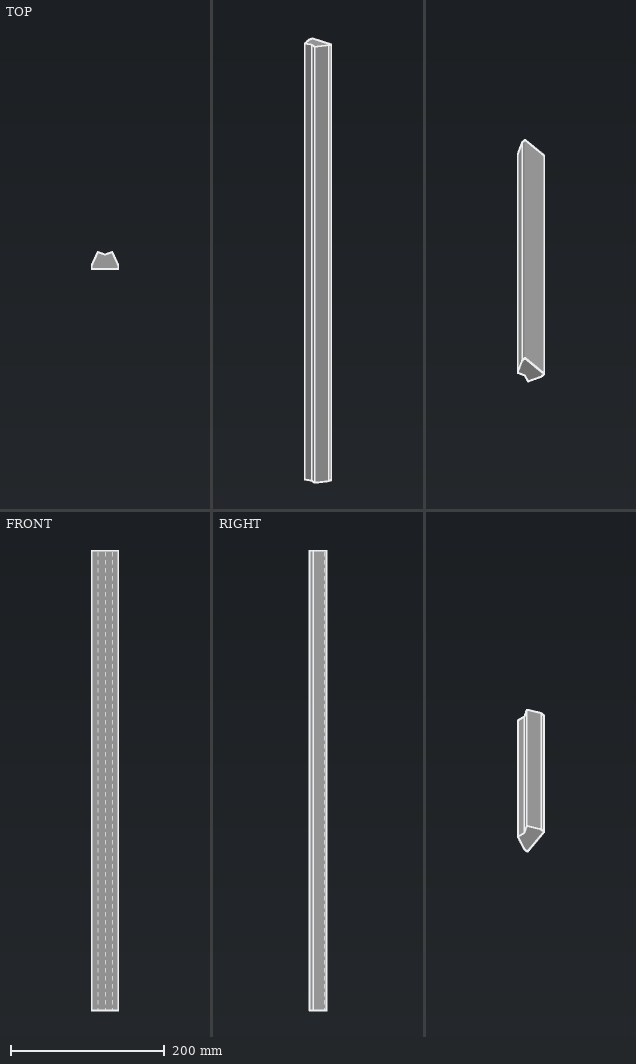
import cadquery as cq
import math

length = 599.5
base_width = 35.0
total_depth = 22.78
edge_depth = 5.4
flank_angle = 25.0
groove_angle = 20.0
long_edge_radius = 0.5
end_chamfer = 0.5

half_base = base_width / 2
flank_depth = total_depth - edge_depth
half_ridge = half_base - flank_depth * math.tan(math.radians(flank_angle))
groove_bottom = total_depth - half_ridge * math.tan(math.radians(groove_angle))


def bar_section():
    """Flat base, short side walls, sloping flanks and a shallow V groove."""
    outline = [
        (-half_base, 0),
        (half_base, 0),
        (half_base, edge_depth),
        (half_ridge, total_depth),
        (0, groove_bottom),
        (-half_ridge, total_depth),
        (-half_base, edge_depth),
    ]
    return cq.Workplane("XY").polyline(outline).close()


def round_long_edges(bar):
    """Round the two long edges of the flat face."""
    return bar.faces("<Y").edges("|Z").fillet(long_edge_radius)


def chamfer_end_edges(bar):
    """Chamfer both ends of the flat face; the chamfer runs on round the corners and along the side walls."""
    return bar.faces("<Y").edges("|X").chamfer(end_chamfer)


result = chamfer_end_edges(round_long_edges(bar_section().extrude(length)))